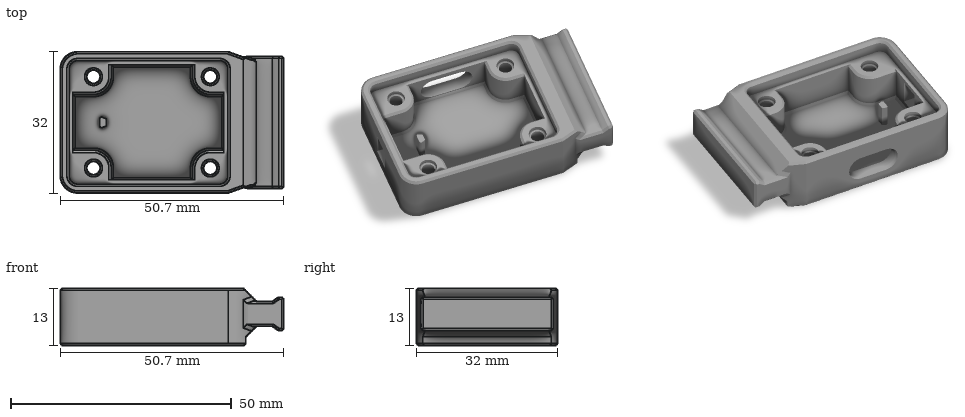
import cadquery as cq
import math

height = 13.0
half_width = 16.0
corner_radius = 4.0
edge_chamfer = 0.5
taper_start = 38.05
taper_slope = math.tan(math.radians(20))
end_x = 42.05
end_face_top = 2.0

length = 50.65
rail_half_width = 15.0
rail_z = 7.2
neck_half_height = 2.85
head_half_height = 3.8
head_slope_start = 48.0
head_slope_end = 49.45
rail_root_x = 40.0
flank_start_x = 41.45
flank_end_x = 42.55
gusset_leg = 0.6

wall = 1.5
lid_depth = 3.0
lid_end_x = 38.5
cavity_start_x = 2.9
cavity_end_x = 37.1
cavity_half_width = 13.0
floor_z = 2.0

hole_start_x = 7.55
hole_end_x = 34.0
hole_y = 10.35
boss_radius = 4.0
hole_diameter = 3.0
counterbore_diameter = 4.0
counterbore_depth = 1.0

window_width = 5.0
window_bottom = 3.5
window_top = 9.0
slot_x = (hole_start_x + hole_end_x) / 2
slot_z = 5.7
slot_length = 12.45
slot_height = 6.0
pin_start_x = 8.95
pin_wide_x = 9.35
pin_end_x = 10.4
pin_start_half_width = 0.95
pin_wide_half_width = 1.25
pin_end_half_width = 0.8
pin_top = 7.0

lid_floor = height - lid_depth
neck_top = rail_z + neck_half_height
neck_bottom = rail_z - neck_half_height
tip_x = end_x + neck_bottom - end_face_top
slope_top_x = tip_x - (height - neck_top)


def taper_half_width(x):
    return half_width - taper_slope * (x - taper_start)


def mirrored_outline(points):
    """Closed XY polyline from its +Y half, mirrored about the X axis."""
    mirrored = [(x, -y) for x, y in reversed(points)]
    return cq.Workplane("XY").polyline(points + mirrored).close()


def centred_box(start_x, stop_x, half_y, depth):
    """Box standing on Z = 0 and centred on the X axis."""
    return cq.Workplane("XY").box(
        stop_x - start_x, 2 * half_y, depth, centered=(False, True, False)
    ).translate((start_x, 0, 0))


def side_prism(points, half_depth):
    """XZ outline extruded evenly to both sides of the X axis."""
    return cq.Workplane("XZ").polyline(points).close().extrude(half_depth, both=True)


def make_end_profile():
    """Side outline shared by the body and the rail gussets."""
    return side_prism(
        [
            (0, 0),
            (end_x - edge_chamfer, 0),
            (end_x, edge_chamfer),
            (end_x, end_face_top),
            (tip_x, neck_bottom),
            (tip_x, neck_top),
            (slope_top_x, height),
            (0, height),
        ],
        half_width,
    )


def make_body():
    outline = [(0, half_width), (taper_start, half_width), (length, taper_half_width(length))]
    block = mirrored_outline(outline).extrude(height)
    block = block.edges("|Z and <X").fillet(corner_radius)
    block = block.faces("<Z or >Z").chamfer(edge_chamfer)
    return block.intersect(make_end_profile())


def make_gusset():
    """Sloped fill in the corner between the +Y taper and the rail's upper edge chamfer."""
    run = cq.Vector(1, -taper_slope, taper_slope)
    corner_y = taper_half_width(rail_root_x)
    corner_z = rail_half_width + neck_top - edge_chamfer - corner_y
    corner = cq.Vector(rail_root_x, corner_y, corner_z)
    along = run.normalized()
    taper_normal = cq.Vector(taper_slope, 1, 0).normalized()
    chamfer_normal = cq.Vector(0, 1, 1).normalized()
    up_taper = along.cross(taper_normal)
    down_chamfer = chamfer_normal.cross(along)
    on_taper = corner + up_taper * gusset_leg
    on_chamfer = corner + down_chamfer * gusset_leg
    inside = corner - taper_normal * gusset_leg - chamfer_normal * gusset_leg
    wire = cq.Wire.makePolygon([on_taper, on_chamfer, inside], close=True)
    sweep = run * (tip_x - rail_root_x)
    return cq.Workplane(cq.Solid.extrudeLinear(wire, [], sweep))


def make_rail():
    upper = [
        (rail_root_x, neck_half_height),
        (head_slope_start, neck_half_height),
        (head_slope_end, head_half_height),
        (length, head_half_height),
    ]
    lower = [(x, -z) for x, z in reversed(upper)]
    rail = side_prism([(x, rail_z + z) for x, z in upper + lower], rail_half_width)
    rail = rail.faces("<Y or >Y").chamfer(edge_chamfer)
    rail = rail.edges("|Y and >X").chamfer(edge_chamfer)
    return rail


def make_rail_end():
    """Rail with its four gussets, trimmed by the slanted flanks."""
    gusset = make_gusset().intersect(make_end_profile())
    upper_gussets = gusset.union(gusset.mirror("XZ"))
    lower_gussets = upper_gussets.mirror("XY", (0, 0, rail_z))
    flank_start_y = taper_half_width(flank_start_x)
    flank_slope = (rail_half_width - flank_start_y) / (flank_end_x - flank_start_x)
    flank_root_y = rail_half_width - flank_slope * (flank_end_x - rail_root_x)
    trim = mirrored_outline(
        [
            (rail_root_x, flank_root_y),
            (flank_end_x, rail_half_width),
            (length, rail_half_width),
        ]
    ).extrude(height)
    return make_rail().union(upper_gussets).union(lower_gussets).intersect(trim)


def make_cavity(shift, bottom, top):
    """Cross-shaped pocket around the four bosses, its bottom edge chamfered.

    A positive shift moves the outer walls and the boss sides away from the pocket by that distance.
    """
    radius = boss_radius - shift
    gap_half_width = hole_y - radius
    gap_start_x = hole_start_x + radius
    gap_end_x = hole_end_x - radius
    depth = top - bottom
    lengthwise = centred_box(cavity_start_x - shift, cavity_end_x + shift, gap_half_width, depth)
    crosswise = centred_box(gap_start_x, gap_end_x, cavity_half_width + shift, depth)
    boss_corners = cq.selectors.BoxSelector(
        (gap_start_x - radius / 2, -gap_half_width - radius / 2, 0),
        (gap_end_x + radius / 2, gap_half_width + radius / 2, depth),
    )
    pocket = lengthwise.union(crosswise).edges("|Z").edges(boss_corners).fillet(radius)
    return pocket.faces("<Z").chamfer(edge_chamfer).translate((0, 0, bottom))


def make_boss_rim():
    """Chamfer around the boss tops, ending square at the cavity walls."""
    wide = make_cavity(edge_chamfer, lid_floor - edge_chamfer, height)
    within_walls = centred_box(cavity_start_x, cavity_end_x, cavity_half_width, height)
    return wide.intersect(within_walls)


def make_lid_recess():
    """Rounded recess for a lid, its rim chamfered outwards."""
    inset = wall + edge_chamfer
    straight = centred_box(inset, lid_end_x - edge_chamfer, half_width - inset, lid_depth)
    straight = straight.edges("|Z").fillet(corner_radius - inset)
    straight = straight.translate((0, 0, lid_floor))
    flare = centred_box(wall, lid_end_x, half_width - wall, 2 * edge_chamfer)
    flare = flare.edges("|Z").fillet(corner_radius - wall)
    flare = flare.faces("<Z").chamfer(edge_chamfer)
    return straight.union(flare.translate((0, 0, height - edge_chamfer)))


def make_screw_holes():
    centres = [(x, y) for x in (hole_start_x, hole_end_x) for y in (-hole_y, hole_y)]
    drills = cq.Workplane("XY").pushPoints(centres).circle(hole_diameter / 2).extrude(height)
    counterbores = (
        cq.Workplane("XY", origin=(0, 0, lid_floor - counterbore_depth))
        .pushPoints(centres)
        .circle(counterbore_diameter / 2)
        .extrude(height)
    )
    return drills.union(counterbores)


def make_window():
    """Rectangular opening through the -X wall."""
    opening = centred_box(0, cavity_start_x + edge_chamfer, window_width / 2, window_top - window_bottom)
    return opening.translate((0, 0, window_bottom))


def make_slot():
    """Rounded opening through the +Y wall."""
    return (
        cq.Workplane("XZ", origin=(slot_x, half_width, slot_z))
        .slot2D(slot_length, slot_height)
        .extrude(half_width - cavity_half_width + edge_chamfer)
    )


def make_pin():
    outline = [
        (pin_start_x, pin_start_half_width),
        (pin_wide_x, pin_wide_half_width),
        (pin_end_x, pin_end_half_width),
    ]
    return mirrored_outline(outline).extrude(pin_top - floor_z).translate((0, 0, floor_z))


result = (
    make_body()
    .union(make_rail_end())
    .cut(make_lid_recess())
    .cut(make_cavity(0, floor_z, height))
    .cut(make_boss_rim())
    .cut(make_screw_holes())
    .cut(make_window())
    .cut(make_slot())
    .union(make_pin())
)